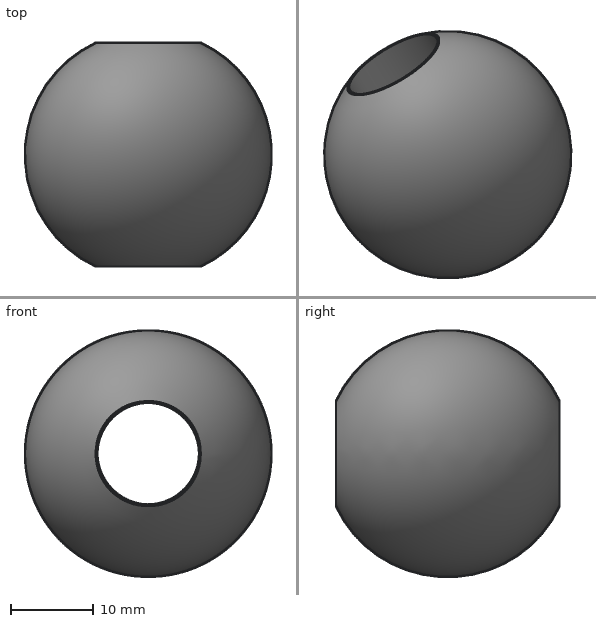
import cadquery as cq
import math

ball_diameter = 30.0
width_across_flats = 27.15
bore_diameter = 12.3

ball_radius = ball_diameter / 2
bore_radius = bore_diameter / 2
half_width = width_across_flats / 2
flat_radius = math.sqrt(ball_radius**2 - half_width**2)

half_section = (
    cq.Workplane("XY")
    .moveTo(bore_radius, -half_width)
    .lineTo(flat_radius, -half_width)
    .threePointArc((ball_radius, 0), (flat_radius, half_width))
    .lineTo(bore_radius, half_width)
    .close()
)

result = half_section.revolve(360, (0, 0, 0), (0, 1, 0))